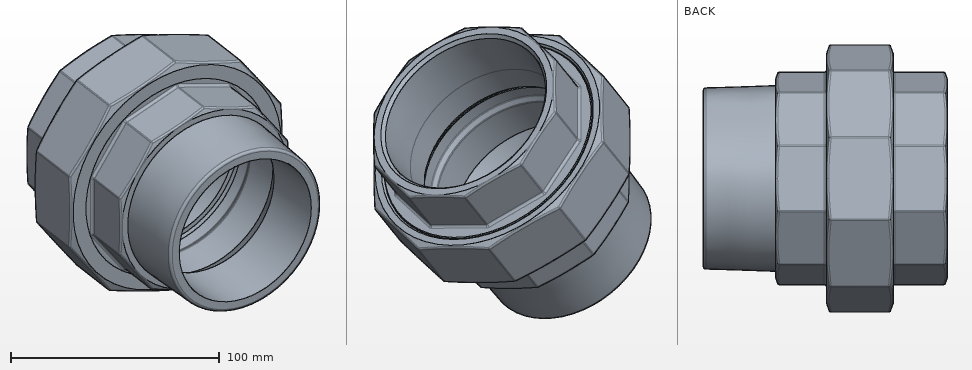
import cadquery as cq
import math


total_length = 117.0
nut_start = 25.9
nut_width = 32.0
nut_end = nut_start + nut_width
socket_grip_length = 26.3
socket_end = 47.4
tail_grip_length = 24.4
tail_grip_end = nut_end + tail_grip_length

tolerance = 0.01

side_count = 10
nut_flats = 122.0
nut_edge_round = 1.0
grip_flats = 97.0
grip_edge_round = 1.0
root_fillet = 1.3

chamfer_angle = 20.0
nut_face_diameter = 119.7
grip_face_diameter = 95.6

mouth_diameter = 88.5
mouth_depth = 1.8
thread_start_diameter = 85.4
socket_bore = 85.0
thread_depth = 28.7

collar_edge_diameter = 110.1
thread_diameter = 111.0
nut_mouth_diameter = 113.0
nut_mouth_depth = 1.0
collar_diameter = 105.0
collar_width = 5.1
shoulder_start = nut_end - collar_width

seal_outer = 104.0
seal_inner = 90.0
seal_start = 44.0

tail_bore = 76.0
relief_diameter = 88.5
relief_end = 54.5
relief_round = 1.3
throat_cone_start = 76.9
bore_cone_angle = 30.0
spigot_root = 89.2
spigot_tip = 86.9
spigot_round = 1.4


def turned(points):
    """Solid of revolution about the X axis from an outline of (x, radius) points."""
    return cq.Workplane("XY").polyline(points).close().revolve(360, (0, 0, 0), (1, 0, 0))


def cylinder(diameter, start, end):
    """Solid cylinder along X."""
    return cq.Workplane("YZ", origin=(start, 0, 0)).circle(diameter / 2).extrude(end - start)


def decagon_bar(flats, start, end):
    """Ten-sided bar along X with one corner straight up."""
    corners = flats / math.cos(math.pi / side_count)
    bar = cq.Workplane("YZ", origin=(start, 0, 0)).polygon(side_count, corners).extrude(end - start)
    return bar.rotate((0, 0, 0), (1, 0, 0), 90)


def chamfer_cone(face_diameter, face, direction, flats):
    """Cone that leaves a round end face on a decagon bar; direction points into the bar."""
    face_radius = face_diameter / 2
    outer_radius = flats
    length = (outer_radius - face_radius) * math.tan(math.radians(chamfer_angle))
    inner_end = face + direction * length
    far_end = face + direction * total_length
    return turned(
        [(face, 0), (face, face_radius), (inner_end, outer_radius), (far_end, outer_radius), (far_end, 0)]
    )


def round_long_edges(bar, radius):
    """Round the corners along X and the curves where the chamfer cone meets the flats."""
    edges = [
        edge
        for edge in bar.edges().vals()
        if edge.geomType() != "CIRCLE" and edge.BoundingBox().xlen > tolerance
    ]
    return bar.newObject(edges).fillet(radius)


def make_nut():
    bar = decagon_bar(nut_flats, nut_start, nut_end)
    bar = bar.intersect(chamfer_cone(nut_face_diameter, nut_start, 1, nut_flats))
    bar = bar.intersect(chamfer_cone(nut_face_diameter, nut_end, -1, nut_flats))
    bar = round_long_edges(bar, nut_edge_round)
    opening = turned(
        [
            (nut_start, 0),
            (nut_start, nut_mouth_diameter / 2),
            (nut_start + nut_mouth_depth, thread_diameter / 2),
            (shoulder_start, thread_diameter / 2),
            (shoulder_start, collar_diameter / 2),
            (nut_end, collar_diameter / 2),
            (nut_end, 0),
        ]
    )
    return bar.cut(opening)


def fillet_root(body, collar_face):
    """Round the inner corner where a decagon meets its collar face, leaving the collar rim sharp."""
    edges = [
        edge
        for edge in body.edges().vals()
        if abs(edge.Center().x - collar_face) < tolerance and edge.BoundingBox().ylen < grip_flats / 2
    ]
    return body.newObject(edges).fillet(root_fillet)


def make_socket():
    bar = decagon_bar(grip_flats, 0, socket_grip_length)
    bar = bar.intersect(chamfer_cone(grip_face_diameter, 0, 1, grip_flats))
    bar = round_long_edges(bar, grip_edge_round)
    threaded_end = cylinder(thread_diameter, socket_grip_length, socket_end)
    threaded_end = threaded_end.faces("<X").edges().chamfer((thread_diameter - collar_edge_diameter) / 2)
    body = bar.union(threaded_end)
    body = fillet_root(body, socket_grip_length)
    bore = turned(
        [
            (0, 0),
            (0, mouth_diameter / 2),
            (mouth_depth, thread_start_diameter / 2),
            (thread_depth, socket_bore / 2),
            (socket_end, socket_bore / 2),
            (socket_end, 0),
        ]
    )
    seal_seat = cylinder(seal_outer, seal_start, socket_end)
    return body.cut(bore).cut(seal_seat)


def make_seal():
    return cylinder(seal_outer, seal_start, socket_end).cut(cylinder(seal_inner, seal_start, socket_end))


def tail_bore_core():
    """Solid that fills the bore of the tail piece."""
    slope = math.tan(math.radians(bore_cone_angle))
    relief_cone_length = (relief_diameter - socket_bore) / 2 / slope
    throat_cone_length = (socket_bore - tail_bore) / 2 / slope
    bore = turned(
        [
            (socket_end, 0),
            (socket_end, relief_diameter / 2),
            (relief_end, relief_diameter / 2),
            (relief_end + relief_cone_length, socket_bore / 2),
            (throat_cone_start, socket_bore / 2),
            (throat_cone_start + throat_cone_length, tail_bore / 2),
            (total_length, tail_bore / 2),
            (total_length, 0),
        ]
    )
    relief_cone_ends = (relief_end, relief_end + relief_cone_length)
    edges = [
        edge
        for edge in bore.edges("%CIRCLE").vals()
        if any(abs(edge.Center().x - end) < tolerance for end in relief_cone_ends)
    ]
    return bore.newObject(edges).fillet(relief_round)


def make_tail():
    bar = decagon_bar(grip_flats, nut_end, tail_grip_end)
    bar = bar.intersect(chamfer_cone(grip_face_diameter, tail_grip_end, -1, grip_flats))
    bar = round_long_edges(bar, grip_edge_round)
    body = bar.union(cylinder(collar_diameter, shoulder_start, nut_end))
    body = fillet_root(body, nut_end)
    flange = cylinder(thread_diameter, socket_end, shoulder_start)
    spigot = turned(
        [
            (nut_end, 0),
            (nut_end, spigot_root / 2),
            (tail_grip_end, spigot_root / 2),
            (total_length, spigot_tip / 2),
            (total_length, 0),
        ]
    )
    spigot = spigot.faces(">X").edges().fillet(spigot_round)
    return body.union(flange).union(spigot).cut(tail_bore_core())


socket = make_socket()
nut = make_nut()
seal = make_seal()
tail = make_tail()

result = cq.Compound.makeCompound([socket.val(), nut.val(), seal.val(), tail.val()])